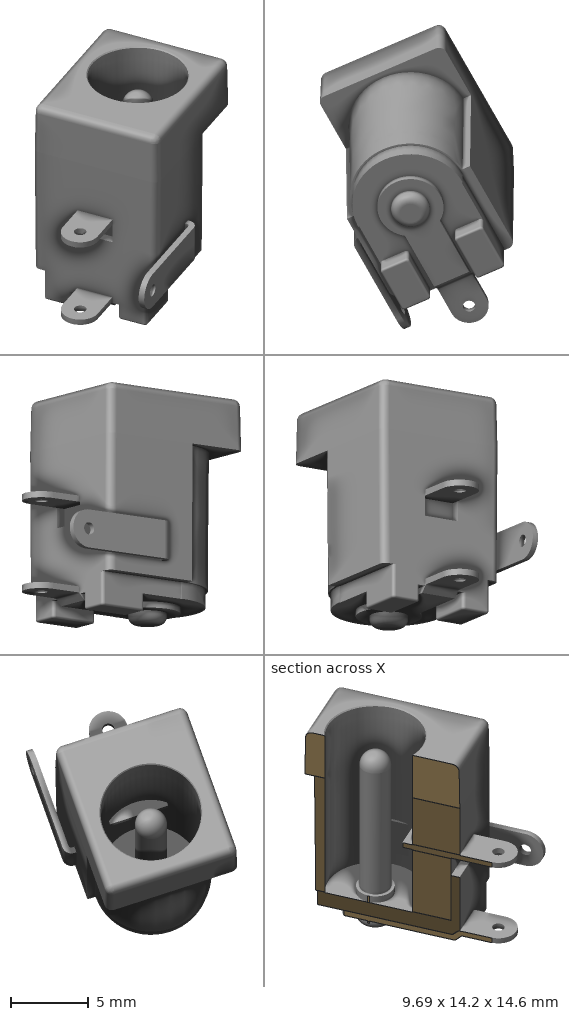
import cadquery as cq
import math


CLEAR = 1.0

cap_draft = 1.0
body_draft = 0.5
half_width = 4.5
front_y = -6.31
cap_back_y = 4.42
body_height = 9.0
cap_height = 3.4
edge_radius = 0.5
barrel_radius = 3.98
shoulder_y = 0.29
bore_radius = 3.25
bore_chamfer = 0.07

sheet = 0.4
tab_width = 2.5
tab_half = tab_width / 2
tab_hole_radius = 0.4
bend_radius = 0.6
tab_tip_y = -9.74
tab_hole_y = tab_tip_y + tab_half

sleeve_z = 4.92
sleeve_inner_width = 3.95
sleeve_inner_y = -2.35
sleeve_shoulder_y = -3.6

switch_leaf_x = 3.05
switch_leaf_end_y = 1.5
switch_leg_y = -1.83
switch_outer_x = 5.19
switch_z = 1.04

base_thickness = 1.1
base_half_width = 3.68
base_radius = 3.75
base_edge_radius = 0.22
foot_bottom_radius = 0.15
tongue_height = 3.58
tongue_depth = 0.6
foot_bottom_z = -2.22
foot_back_y = -2.95
foot_gap_half = 1.64

pin_radius = 1.03
pin_tip_z = 11.07
collar_radius = 1.25
collar_height = 0.5
shank_radius = 0.75
rivet_round = 0.55
washer_radius = 2.13
pin_tab_z = -1.04
jog_y = -6.5
jog_angle = 45

washer_top_z = -base_thickness
washer_bottom_z = washer_top_z - sheet


def block(x0, x1, y0, y1, z0, z1):
    """Box between two opposite corners."""
    return cq.Workplane("XY").box(x1 - x0, y1 - y0, z1 - z0, centered=False).translate((x0, y0, z0))


def cylinder(radius, z0, z1):
    """Upright cylinder on the pin axis."""
    return cq.Workplane("XY").workplane(offset=z0).circle(radius).extrude(z1 - z0)


def tab(root_y):
    """Round-ended terminal tab with a hole, flat on Z = 0, from root_y out to the tip."""
    outline = (
        cq.Workplane("XY")
        .moveTo(-tab_half, root_y)
        .lineTo(-tab_half, tab_hole_y)
        .threePointArc((0, tab_tip_y), (tab_half, tab_hole_y))
        .lineTo(tab_half, root_y)
        .close()
        .extrude(sheet)
    )
    hole = cylinder(tab_hole_radius, -CLEAR, sheet + CLEAR).translate((0, tab_hole_y, 0))
    return outline.cut(hole)


def make_sleeve_terminal():
    wide_end = block(
        -sleeve_inner_width / 2, sleeve_inner_width / 2, sleeve_shoulder_y, sleeve_inner_y, 0, sheet
    )
    return tab(sleeve_shoulder_y).union(wide_end).translate((0, 0, sleeve_z))


def make_switch_terminal():
    tab_x = switch_outer_x - sheet
    bend_y = switch_leg_y - bend_radius
    top_z = switch_z + tab_width
    outside_tab = (
        tab(bend_y)
        .rotate((0, 0, 0), (0, 1, 0), 90)
        .translate((tab_x, 0, switch_z + tab_half))
    )
    bend_x = switch_outer_x - bend_radius
    bend = (
        cq.Workplane("XY")
        .workplane(offset=switch_z)
        .center(bend_x, bend_y)
        .circle(bend_radius)
        .circle(bend_radius - sheet)
        .extrude(tab_width)
        .intersect(block(bend_x, switch_outer_x, bend_y, switch_leg_y, switch_z, top_z))
    )
    leg = block(switch_leaf_x, bend_x, switch_leg_y - sheet, switch_leg_y, switch_z, top_z)
    leaf = block(
        switch_leaf_x, switch_leaf_x + sheet, switch_leg_y - sheet, switch_leaf_end_y, switch_z, top_z
    )
    return outside_tab.union(bend).union(leg).union(leaf)


def make_pin_terminal():
    """Washer around the rivet with a strip that bends and slopes up to the level of its tab."""
    tab_top_z = pin_tab_z + sheet
    bend_z = tab_top_z - bend_radius
    inner_radius = bend_radius - sheet
    half_turn = math.radians(jog_angle / 2)
    turn = math.radians(jog_angle)

    def on_bend(radius, angle):
        return (jog_y + radius * math.sin(angle), bend_z + radius * math.cos(angle))

    top_y, top_z = on_bend(bend_radius, turn)
    under_y, under_z = on_bend(inner_radius, turn)
    strip = (
        cq.Workplane("YZ")
        .moveTo(0, washer_bottom_z)
        .lineTo(0, washer_top_z)
        .lineTo(top_y + (top_z - washer_top_z) / math.tan(turn), washer_top_z)
        .lineTo(top_y, top_z)
        .threePointArc(on_bend(bend_radius, half_turn), (jog_y, tab_top_z))
        .lineTo(jog_y, pin_tab_z)
        .threePointArc(on_bend(inner_radius, half_turn), (under_y, under_z))
        .lineTo(under_y + (under_z - washer_bottom_z) / math.tan(turn), washer_bottom_z)
        .close()
        .extrude(tab_half, both=True)
    )
    washer = cylinder(washer_radius, washer_bottom_z, washer_top_z)
    hole = cylinder(shank_radius, washer_bottom_z - CLEAR, washer_top_z + CLEAR)
    return washer.union(strip).cut(hole).union(tab(jog_y).translate((0, 0, pin_tab_z)))


def make_pin():
    ball_z = pin_tip_z - pin_radius
    pin = cylinder(pin_radius, 0, ball_z)
    tip = cq.Workplane("XY").sphere(pin_radius).translate((0, 0, ball_z))
    collar = cylinder(collar_radius, 0, collar_height)
    shank = cylinder(shank_radius, washer_bottom_z, 0)
    rivet = cylinder(collar_radius, foot_bottom_z, washer_bottom_z).faces("<Z").edges().fillet(rivet_round)
    return pin.union(tip).union(collar).union(shank).union(rivet)


def make_tongue():
    return block(-tab_half, tab_half, front_y, front_y + tongue_depth, 0, tongue_height)


def make_foot():
    """Foot on the +X side."""
    foot = block(foot_gap_half, base_half_width, front_y, foot_back_y, foot_bottom_z, 0)
    return foot.edges("|Z").fillet(base_edge_radius).faces("<Z").edges().fillet(foot_bottom_radius)


def make_base(pin_terminal):
    plate = block(-base_half_width, base_half_width, front_y, 0, washer_top_z, 0)
    plate = plate.edges("|Z and <Y").fillet(base_edge_radius)
    back = cylinder(base_radius, washer_top_z, 0)
    back = back.intersect(block(-base_radius, base_radius, 0, base_radius, washer_top_z, 0))
    foot = make_foot()
    hole = cylinder(shank_radius, -base_thickness - CLEAR, CLEAR)
    base = plate.union(back).union(foot).union(foot.mirror("YZ")).union(make_tongue())
    return base.cut(hole).cut(pin_terminal)


def make_cap():
    width = 2 * half_width
    depth = cap_back_y - front_y
    top_z = body_height + cap_height
    cap = (
        cq.Workplane("XY")
        .workplane(offset=body_height)
        .center(0, (cap_back_y + front_y) / 2)
        .rect(width, depth)
        .extrude(cap_height, taper=cap_draft)
    )
    cap = cap.edges("not(#Z)").fillet(edge_radius).faces(">Z").edges().fillet(edge_radius)
    rim = cq.Solid.makeCone(bore_radius, bore_radius + bore_chamfer, bore_chamfer)
    rim = rim.translate(cq.Vector(0, 0, top_z - bore_chamfer))
    return cap.cut(cylinder(bore_radius, body_height, top_z)).cut(cq.Workplane(rim))


def make_body(sleeve_terminal, switch_terminal):
    """Square front half, upright in front and drafted at its sides, with a drafted round barrel behind."""
    drafted = (
        cq.Workplane("XY")
        .workplane(offset=body_height)
        .center(0, (front_y + shoulder_y) / 2)
        .rect(2 * half_width, shoulder_y - front_y + 2 * CLEAR)
        .extrude(-body_height, taper=body_draft)
    )
    clip = block(-half_width - CLEAR, half_width + CLEAR, front_y, shoulder_y, 0, body_height)
    body = drafted.intersect(clip)
    corners = cq.selectors.BoxSelector(
        (-half_width - CLEAR, front_y - CLEAR / 2, CLEAR),
        (half_width + CLEAR, front_y + CLEAR / 2, body_height - CLEAR),
    )
    body = body.edges(corners).edges("not(#Z)").fillet(edge_radius)
    barrel = (
        cq.Workplane("XY")
        .workplane(offset=body_height)
        .circle(barrel_radius)
        .extrude(-body_height, taper=body_draft)
    )
    barrel_clip = block(-half_width, half_width, shoulder_y - CLEAR, half_width, 0, body_height)
    body = body.union(barrel.intersect(barrel_clip))
    front_slot = block(-tab_half, tab_half, front_y, front_y + tongue_depth, 0, sleeve_z + sheet)
    bore = cylinder(bore_radius, 0, body_height)
    return body.cut(bore).cut(front_slot).cut(sleeve_terminal).cut(switch_terminal)


sleeve_terminal = make_sleeve_terminal()
switch_terminal = make_switch_terminal()
pin_terminal = make_pin_terminal()
pin = make_pin()
base = make_base(pin_terminal)
cap = make_cap()
body = make_body(sleeve_terminal, switch_terminal)

result = cq.Compound.makeCompound(
    [
        cap.val(),
        body.val(),
        base.val(),
        pin.val(),
        sleeve_terminal.val(),
        switch_terminal.val(),
        pin_terminal.val(),
    ]
)